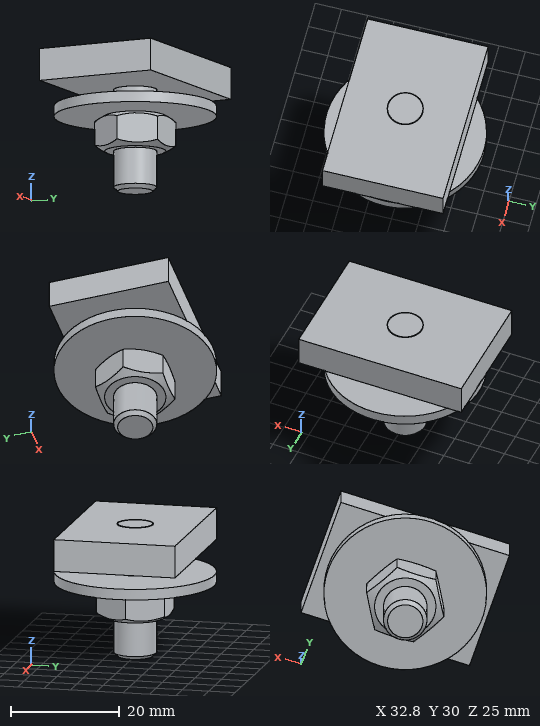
import cadquery as cq
import math

plate_length = 32.8
plate_width = 23.0
plate_thickness = 6.0

tapped_hole_diameter = 6.647

stud_diameter = 8.0
stud_length = 25.0
stud_chamfer = 0.75

washer_diameter = 30.0
washer_thickness = 2.0
washer_gap = 3.0
washer_top_z = -plate_thickness - washer_gap

nut_across_flats = 13.0
nut_height = 6.5
nut_across_corners = nut_across_flats / math.cos(math.radians(30))
nut_face_diameter = 11.3
nut_chamfer_angle = 30.0
nut_top_z = washer_top_z - washer_thickness


def cylinder(diameter, top_z, height):
    """Vertical cylinder hanging down from top_z."""
    return cq.Workplane("XY").workplane(offset=top_z).circle(diameter / 2).extrude(-height)


def make_plate():
    """Rectangular plate with the tapped hole through its centre."""
    plate = cq.Workplane("XY").rect(plate_length, plate_width).extrude(-plate_thickness)
    return plate.cut(cylinder(tapped_hole_diameter, 0, plate_thickness))


def make_stud():
    """Chamfered stud; its top chamfer leaves a fine V-groove inside the tapped hole rim."""
    return cylinder(stud_diameter, 0, stud_length).faces("<Z or >Z").chamfer(stud_chamfer)


def make_washer():
    """Plain washer disc, solid around the stud."""
    return cylinder(washer_diameter, washer_top_z, washer_thickness)


def make_nut():
    """Hexagonal prism with corners on the X axis, both ends trimmed by cones."""
    hexagon = (
        cq.Workplane("XY")
        .workplane(offset=nut_top_z)
        .polygon(6, nut_across_corners)
        .extrude(-nut_height)
    )
    face_radius = nut_face_diameter / 2
    corner_radius = nut_across_corners / 2
    cone_height = (corner_radius - face_radius) * math.tan(math.radians(nut_chamfer_angle))
    nut_bottom_z = nut_top_z - nut_height
    envelope = (
        cq.Workplane("XZ")
        .moveTo(0, nut_top_z)
        .lineTo(face_radius, nut_top_z)
        .lineTo(corner_radius, nut_top_z - cone_height)
        .lineTo(corner_radius, nut_bottom_z + cone_height)
        .lineTo(face_radius, nut_bottom_z)
        .lineTo(0, nut_bottom_z)
        .close()
        .revolve(360, (0, 0), (0, 1))
    )
    return hexagon.intersect(envelope)


result = make_plate().union(make_stud()).union(make_washer()).union(make_nut())